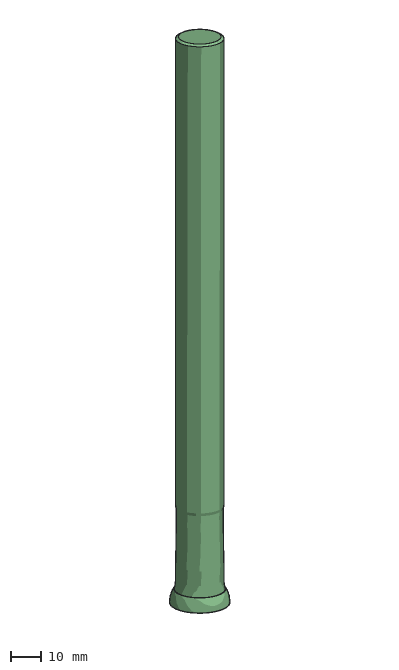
import cadquery as cq
import math

TOTAL_LENGTH = 200.0
RIM_HEIGHT = 1.2
HEAD_TOP = 5.8
FLARE_TOP = 9.5
COLLAR_TOP = 14.8
NECK_BOTTOM = 31.5
NECK_TOP = 34.2
SHANK_BOTTOM = 35.2

SHANK_RADIUS = 16.0 / 2
NECK_RADIUS = 15.5 / 2
RIM_RADIUS = 20.0 / 2
HEAD_TOP_RADIUS = 8.8
FLARE_RADIUS = 8.5

CHAMFER_WIDTH = 1.0
CHAMFER_HEIGHT = 0.5

LEDGE_ROUND = 0.2
RIM_ROUND = 0.5


def revolve_profile(profile):
    """Turn a closed half profile, drawn as (radius, height), around the Z axis."""
    return profile.close().revolve(360, (0, 0, 0), (0, 1, 0))


def make_holder():
    """Shank, relieved neck, collar and flared foot."""
    profile = (
        cq.Workplane("XZ")
        .moveTo(0, HEAD_TOP)
        .lineTo(0, TOTAL_LENGTH)
        .lineTo(SHANK_RADIUS - CHAMFER_WIDTH, TOTAL_LENGTH)
        .lineTo(SHANK_RADIUS, TOTAL_LENGTH - CHAMFER_HEIGHT)
        .lineTo(SHANK_RADIUS, SHANK_BOTTOM)
        .lineTo(NECK_RADIUS, NECK_TOP)
        .lineTo(NECK_RADIUS, NECK_BOTTOM)
        .tangentArcPoint((SHANK_RADIUS, COLLAR_TOP), relative=False)
        .lineTo(SHANK_RADIUS, FLARE_TOP)
        .tangentArcPoint((FLARE_RADIUS, HEAD_TOP), relative=False)
    )
    return revolve_profile(profile)


def make_cutting_head():
    """Flared cutting head with a shallow spherical tip, centred on the axis."""
    tip_edge_radius = RIM_RADIUS - RIM_ROUND
    tip_edge_height = RIM_HEIGHT - RIM_ROUND
    tip_sphere_radius = (tip_edge_radius**2 + tip_edge_height**2) / (2 * tip_edge_height)
    half_radius = tip_edge_radius / 2
    tip_middle_height = tip_sphere_radius - math.sqrt(tip_sphere_radius**2 - half_radius**2)
    profile = (
        cq.Workplane("XZ")
        .threePointArc((half_radius, tip_middle_height), (tip_edge_radius, tip_edge_height))
        .radiusArc((RIM_RADIUS, RIM_HEIGHT), -RIM_ROUND)
        .tangentArcPoint((HEAD_TOP_RADIUS, HEAD_TOP - LEDGE_ROUND), relative=False)
        .tangentArcPoint((HEAD_TOP_RADIUS - LEDGE_ROUND, HEAD_TOP), relative=False)
        .lineTo(0, HEAD_TOP)
    )
    return revolve_profile(profile)


holder = make_holder()
cutting_head = make_cutting_head()

result = cq.Compound.makeCompound([holder.val(), cutting_head.val()])